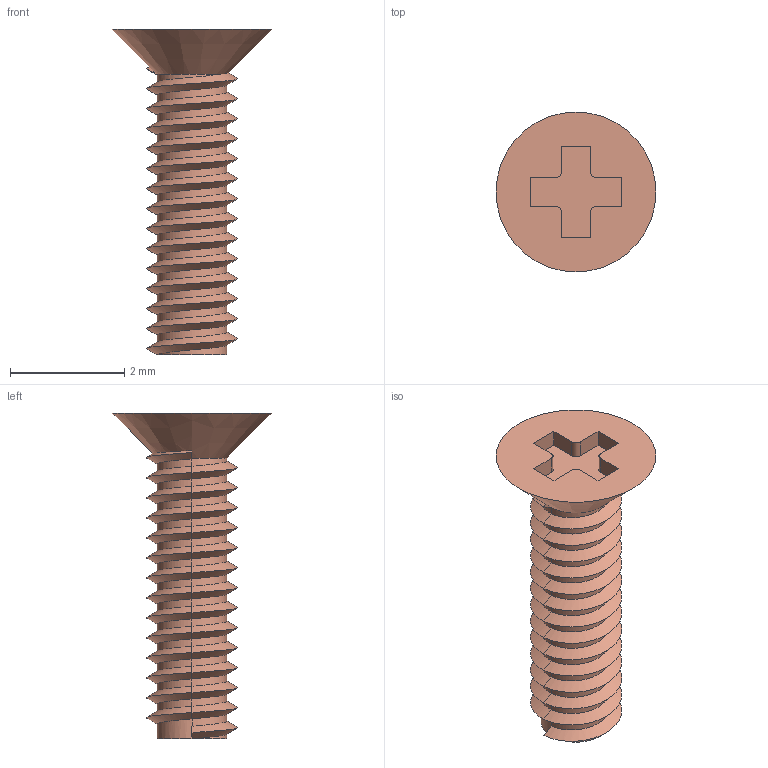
import cadquery as cq
import math

total_length = 5.7
head_diameter = 2.8
core_diameter = 1.22

thread_diameter = 1.6
pitch = 0.35
turns = 14
flank_angle = 30.0
root_overlap = 0.05

recess_span = 1.6
recess_arm_width = 0.51
recess_depth = 0.3
recess_corner_radius = 0.1

core_radius = core_diameter / 2
head_radius = head_diameter / 2
thread_radius = thread_diameter / 2

head_height = head_radius - core_radius
shank_length = total_length - head_height


def make_blank():
    """Shank and countersunk head as one revolved body, its seam line on the -X side."""
    return (
        cq.Workplane("XZ")
        .lineTo(-core_radius, 0)
        .lineTo(-core_radius, shank_length)
        .lineTo(-head_radius, total_length)
        .lineTo(0, total_length)
        .close()
        .revolve(360, (0, 0, 0), (0, 1, 0))
    )


def make_thread_turn():
    """One right-handed turn of the V ridge, from -X round to -X, its flanks continued into the core."""
    flank_slope = math.tan(math.radians(flank_angle))
    crest_height = (thread_radius - core_radius) * flank_slope
    buried_radius = core_radius - root_overlap
    buried_half_width = (thread_radius - buried_radius) * flank_slope
    path = cq.Wire.makeHelix(pitch, pitch, core_radius)
    turn = (
        cq.Workplane("XZ")
        .moveTo(buried_radius, crest_height - buried_half_width)
        .lineTo(thread_radius, crest_height)
        .lineTo(buried_radius, crest_height + buried_half_width)
        .close()
        .sweep(cq.Workplane(path), isFrenet=True)
    )
    return turn.rotate((0, 0, 0), (0, 0, 1), 180)


def make_tip_trim():
    """Block below the flat tip that removes the buried root of the first turn."""
    return cq.Workplane("XY").rect(head_diameter, head_diameter).extrude(-pitch)


def add_thread(body):
    """Join the turns one by one, the last one running out into the head."""
    turn = make_thread_turn()
    body = body.union(turn.cut(make_tip_trim()), clean=False)
    for index in range(1, turns):
        body = body.union(turn.translate((0, 0, index * pitch)), clean=False)
    return body


def make_recess():
    """Cross-shaped cutter with rounded inner corners, open at the head face."""
    floor = cq.Workplane("XY").workplane(offset=total_length - recess_depth)
    arm_x = floor.rect(recess_span, recess_arm_width).extrude(recess_depth)
    arm_y = floor.rect(recess_arm_width, recess_span).extrude(recess_depth)
    inner_box = cq.selectors.BoxSelector(
        (-recess_arm_width, -recess_arm_width, 0),
        (recess_arm_width, recess_arm_width, total_length),
    )
    return arm_x.union(arm_y).edges("|Z").edges(inner_box).fillet(recess_corner_radius)


result = add_thread(make_blank()).cut(make_recess(), clean=False)